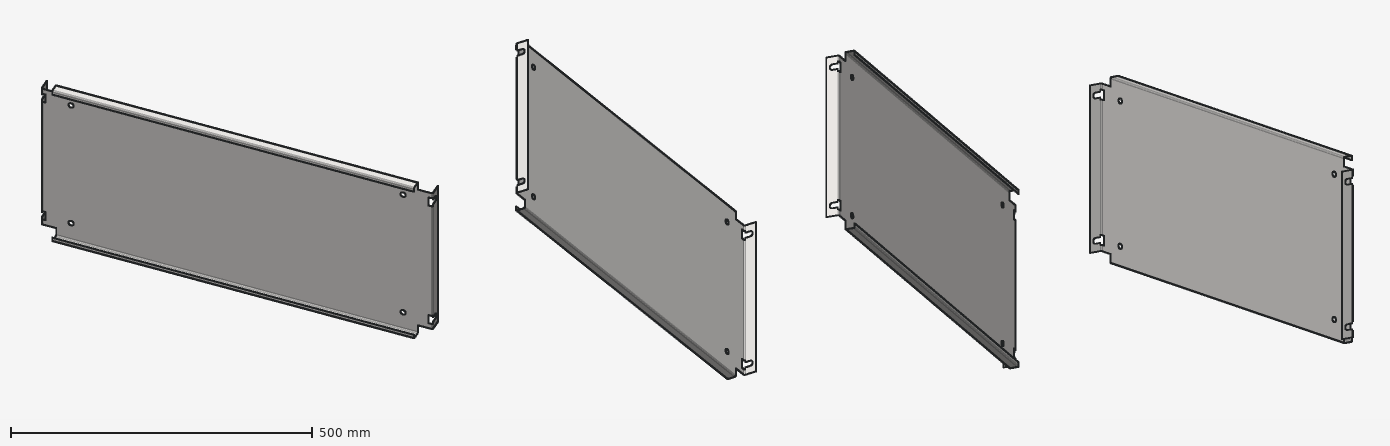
import cadquery as cq

length = 708.0
height = 320.0
depth = 40.5

sheet = 1.0
bend_radius = 2.5
inner_bend_radius = bend_radius - sheet

panel_height = 287.5
flange_depth = 23.5
rail_length = 654.0
lip_height = 8.5
rail_depth = depth - flange_depth

hole_diameter = 9.0
hole_spacing_x = 600.5
hole_spacing_z = 249.0

slot_spacing = 249.0
plate_slot_width = 8.0
plate_slot_height = 17.0
flange_slot_height = 10.0
flange_slot_reach = 17.0



def flanged_panel():
    """Plate with both end flanges: a shallow U section extruded along Z."""
    outer = (
        cq.Workplane("XY")
        .box(length, flange_depth + bend_radius, panel_height, centered=(True, False, True))
        .edges("|Z and <Y")
        .fillet(bend_radius)
    )
    inner = (
        cq.Workplane("XY")
        .box(length - 2 * sheet, flange_depth + bend_radius, panel_height, centered=(True, False, True))
        .edges("|Z and <Y")
        .fillet(inner_bend_radius)
        .translate((0, sheet, 0))
    )
    trim = cq.Workplane("XY").box(length, flange_depth, panel_height, centered=(True, False, True))
    return outer.cut(inner).intersect(trim)


def railed_panel():
    """Plate with both edge rails: a C section extruded along X."""
    section_depth = rail_depth + sheet
    middle = sheet - section_depth / 2
    outer = (
        cq.Workplane("XY")
        .box(rail_length, section_depth, height)
        .edges("|X")
        .fillet(bend_radius)
    )
    inner = (
        cq.Workplane("XY")
        .box(rail_length, section_depth - 2 * sheet, height - 2 * sheet)
        .edges("|X")
        .fillet(inner_bend_radius)
    )
    mouth = (
        cq.Workplane("XY")
        .box(rail_length, section_depth / 2, height - 2 * lip_height)
        .translate((0, -section_depth / 2, 0))
    )
    return outer.cut(inner).cut(mouth).translate((0, middle, 0))


def mounting_holes():
    """Four round holes through the plate."""
    return (
        cq.Workplane("XZ")
        .rarray(hole_spacing_x, hole_spacing_z, 2, 2)
        .circle(hole_diameter / 2)
        .extrude(sheet, both=True)
    )


def end_slots():
    """Slots at the four corners, wide in the plate bend and round-ended in the flange."""
    plate_slot = cq.Workplane("XY").box(2 * plate_slot_width, 2 * bend_radius, plate_slot_height)
    flange_slot = (
        cq.Workplane("YZ")
        .slot2D(2 * flange_slot_reach, flange_slot_height)
        .extrude(bend_radius, both=True)
    )
    slot = plate_slot.union(flange_slot)
    slots = cq.Workplane("XY")
    for x in (-length / 2, length / 2):
        for z in (-slot_spacing / 2, slot_spacing / 2):
            slots = slots.union(slot.translate((x, 0, z)))
    return slots


result = flanged_panel().union(railed_panel()).cut(mounting_holes()).cut(end_slots())